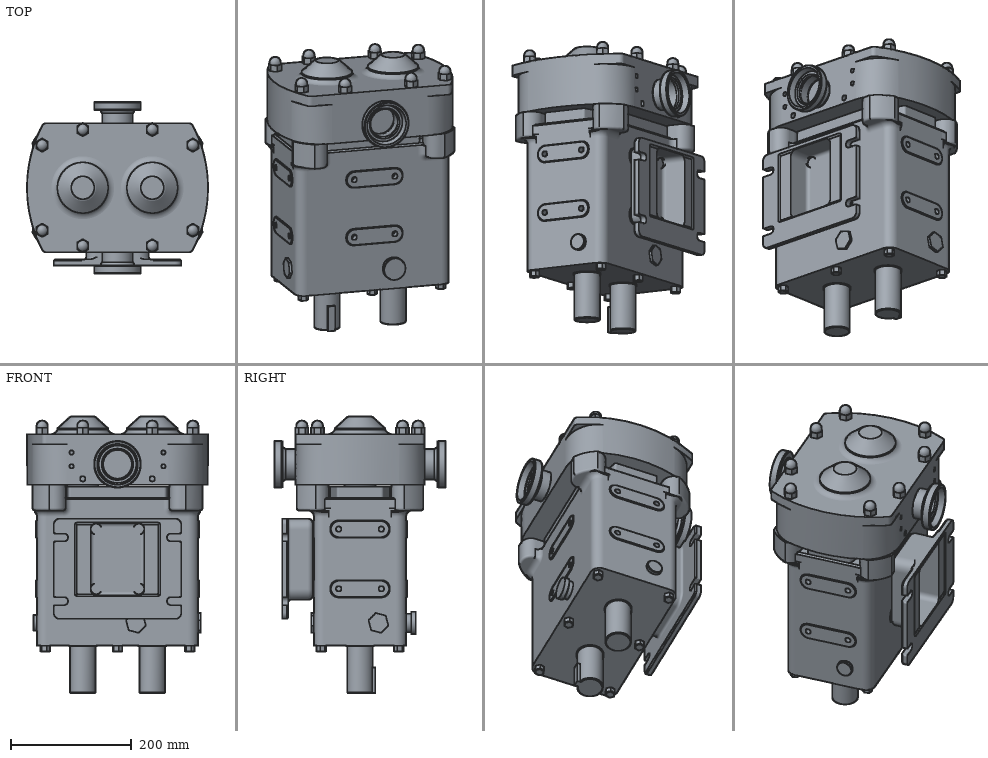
import cadquery as cq
import math


MIRROR_SIGNS = (-1, 1)
SHAFT_X = 57.5

HEAD_HALF_X = 150.0
HEAD_HALF_Y = 107.0
HEAD_SIDE_RADIUS = 222.0
HEAD_BOTTOM_Z = 266.0
HEAD_TOP_Z = 350.0
COVER_THICKNESS = 17.0
COVER_BOTTOM_Z = HEAD_TOP_Z - COVER_THICKNESS
COVER_CORNER_FILLET = 8.0
LOWER_FLAT_HALF_X = 84.0
LOWER_SIDE_HALF_Y = 64.7

DOME_HEIGHT = 29.2
DOME_FOOT_RADIUS = 52.0
DOME_BAND_RADIUS = 42.0
DOME_BAND_BOTTOM = 7.0
DOME_BAND_TOP = 9.5
DOME_TOP_RADIUS = 22.0
DOME_TOP_CHAMFER = 1.5
DOME_FOOT_SAG = 1.5

NUT_FLATS = 19.0
NUT_HEX_HEIGHT = 10.5
NUT_COLLAR_HEIGHT = 2.5
NUT_CAP_RADIUS = 9.5
NUT_POSITIONS = ((124.7, 70.5), (SHAFT_X, 96.2))

PORT_Z = 300.0
PORT_END_Y = 142.0
PORT_FLANGE_RADIUS = 38.75
PORT_FLANGE_LENGTH = 13.0
PORT_FLANGE_CHAMFER = 1.0
PORT_NECK_RADIUS = 25.5
PORT_NECK_FLARE = 3.0
PORT_BORE_RADIUS = 23.7
PORT_BORE_CHAMFER = 2.5
PORT_SOCKET_MOUTH = 33.8
PORT_SOCKET_FLOOR = 31.0
PORT_SOCKET_DEPTH = 11.0

FACE_HOLE_DEPTH = 12.0
SMALL_FACE_HOLES = ((76.0, 319.5), (76.0, 296.7))
SMALL_FACE_HOLE_DIAMETER = 7.0
LARGE_FACE_HOLES = ((SHAFT_X, 276.0),)
LARGE_FACE_HOLE_DIAMETER = 9.0

BOX_HALF_X = 133.5
BOX_HALF_Y = 76.5
BOX_HEIGHT = 245.0
BOX_CORNER_RADIUS = 16.0
BOX_TOP_CHAMFER = 3.0
BOX_WALL_TOP_Z = BOX_HEIGHT - BOX_TOP_CHAMFER
TOP_STEP_HEIGHT = 18.0
TOP_STEP_Z = BOX_HEIGHT + TOP_STEP_HEIGHT
TOP_STEP_HALF_X = BOX_HALF_X - BOX_TOP_CHAMFER
TOP_STEP_HALF_Y = BOX_HALF_Y - BOX_TOP_CHAMFER
TOP_STEP_ARM_X = 80.5
TOP_STEP_ARM_Y = 38.0
TOP_STEP_INNER = (84.0, 49.0)
TOP_STEP_FILLET = 4.0
SEAL_RADIUS = 26.0

PILLAR_X = (86.0, 140.7)
PILLAR_Y = (52.0, 104.7)
PILLAR_BOTTOM_Z = 223.5
PILLAR_OUTER_END_X = 113.0
PILLAR_OUTER_SAG = 3.0
PILLAR_SIDE_RADIUS = 19.0
PILLAR_INNER_RADIUS = 21.5
PILLAR_EDGE_FILLET = 4.0
BLEND_RADIUS = 10.0
BLEND_TURN_RADIUS = PILLAR_EDGE_FILLET + BLEND_RADIUS
BLEND_SIDE_END = (133.5, 49.0)

PAD_LENGTH = 99.0
PAD_WIDTH = 29.0
PAD_THICKNESS = 1.5
PAD_CHAMFER = 1.4
PAD_HEIGHTS = (94.0, 192.7)
PAD_HOLE_HALF_SPACING = 35.3
PAD_HOLE_DIAMETER = 9.0
PAD_HOLE_DEPTH = 15.0

SHAFT_RADIUS = 21.5
SHAFT_LENGTH = 78.5
SHAFT_CHAMFER = 1.5
SHAFT_COLLAR_RADIUS = 22.8
SHAFT_COLLAR_LENGTH = 1.5
KEY_WIDTH = 12.0
KEY_TOP_Z = -36.0
KEY_OUTER_Y = 25.6

HEX_TURN = 15.0
FOOT_SCREW_X = (-119.6, 0.0, 119.6)
FOOT_SCREW_Y = 64.0
FOOT_SCREW_CORNERS = 16.6
FOOT_SCREW_HEIGHT = 10.0
FOOT_SCREW_CHAMFER = 1.0
PLUG_Z = 37.5
PLUG_OFFSET = 30.5
HEX_PLUG_CORNERS = 34.0
HEX_PLUG_HEIGHT = 4.5
ROUND_PLUG_RADIUS = 13.2
ROUND_PLUG_HEIGHT = 5.8
ROUND_PLUG_CHAMFER = 0.8
SIGHT_NECK_RADIUS = 15.5
SIGHT_FLANGE_RADIUS = 18.5
SIGHT_HEIGHT = 16.0
SIGHT_FLANGE_THICKNESS = 8.0

BRACKET_BACK_Y = -(BOX_HALF_Y + PAD_THICKNESS)
PLATE_FRONT_Y = -129.0
PLATE_THICKNESS = 10.3
PLATE_BACK_Y = PLATE_FRONT_Y + PLATE_THICKNESS
PLATE_HALF_X = 105.5
PLATE_BOTTOM_Z = 44.0
PLATE_TOP_Z = 210.0
PLATE_CORNER_RADIUS = 10.0
PLATE_BACK_CHAMFER = 2.5
SLOT_WIDTH = 13.0
SLOT_END_X = 81.8
SLOT_MOUTH_FILLET = 2.5
SLOT_HEIGHTS = (73.5, 178.9)
DUCT_HALF_X = 52.0
DUCT_HALF_Z = 67.2
DUCT_MIDDLE_Z = PLATE_TOP_Z - DUCT_HALF_Z
DUCT_WALL = 7.5
DUCT_CORNER_RADIUS = 17.5
DUCT_BACK_FILLET = 8.0
DUCT_ROOT_FILLET = 4.0
DUCT_FLOOR_Y = -85.5
CAVITY_FLOOR_FILLET = 6.0
WINDOW_HALF_X = 71.0
WINDOW_HALF_Z = 61.0
WINDOW_DEPTH = 2.0
WINDOW_SLOPE_WIDTH = 3.5
WINDOW_RIM_HEIGHT = 0.1
WINDOW_CORNER_RADIUS = 5.0
SPOTFACE_RADIUS = 9.0


def side_x(y):
    """Half width of the pump head at distance y from its middle."""
    return HEAD_HALF_X - HEAD_SIDE_RADIUS + math.sqrt(HEAD_SIDE_RADIUS**2 - y**2)


def arc_middle(start, end, sag):
    """Middle point of an arc that bulges by sag to the right of the way from start to end."""
    run = end[0] - start[0]
    rise = end[1] - start[1]
    chord = math.hypot(run, rise)
    return (
        (start[0] + end[0]) / 2 + sag * rise / chord,
        (start[1] + end[1]) / 2 - sag * run / chord,
    )


def side_workplane(direction, distance):
    """Workplane on a vertical face: normal along direction, local X to the right, local Y up."""
    nx, ny = direction
    return cq.Workplane(
        cq.Plane(origin=(nx * distance, ny * distance, 0), xDir=(-ny, nx, 0), normal=(nx, ny, 0))
    )


def hexagon(workplane, corner_diameter, height):
    """Hexagon prism standing on the workplane, turned by HEX_TURN."""
    return workplane.transformed(rotate=(0, 0, -HEX_TURN)).polygon(6, corner_diameter).extrude(height)


def four_corners(x, y):
    return [(sx * x, sy * y) for sx in MIRROR_SIGNS for sy in MIRROR_SIGNS]


def make_cover():
    """Top slab of the head: bulging sides and rounded corners."""
    corner_x = side_x(HEAD_HALF_Y)
    cover = (
        cq.Workplane("XY", origin=(0, 0, COVER_BOTTOM_Z))
        .moveTo(corner_x, -HEAD_HALF_Y)
        .threePointArc((HEAD_HALF_X, 0), (corner_x, HEAD_HALF_Y))
        .lineTo(-corner_x, HEAD_HALF_Y)
        .threePointArc((-HEAD_HALF_X, 0), (-corner_x, -HEAD_HALF_Y))
        .close()
        .extrude(COVER_THICKNESS)
    )
    return cover.edges("|Z").fillet(COVER_CORNER_FILLET)


def make_rotor_case():
    """Lower part of the head: round corners that start tangent to the +-Y faces."""
    end_x = side_x(LOWER_SIDE_HALF_Y)
    run = end_x - LOWER_FLAT_HALF_X
    drop = HEAD_HALF_Y - LOWER_SIDE_HALF_Y
    radius = (run**2 + drop**2) / (2 * drop)
    half_angle = math.asin(run / radius) / 2
    mid_x = LOWER_FLAT_HALF_X + radius * math.sin(half_angle)
    mid_y = HEAD_HALF_Y - radius * (1 - math.cos(half_angle))
    return (
        cq.Workplane("XY", origin=(0, 0, HEAD_BOTTOM_Z))
        .moveTo(end_x, -LOWER_SIDE_HALF_Y)
        .threePointArc((HEAD_HALF_X, 0), (end_x, LOWER_SIDE_HALF_Y))
        .threePointArc((mid_x, mid_y), (LOWER_FLAT_HALF_X, HEAD_HALF_Y))
        .lineTo(-LOWER_FLAT_HALF_X, HEAD_HALF_Y)
        .threePointArc((-mid_x, mid_y), (-end_x, LOWER_SIDE_HALF_Y))
        .threePointArc((-HEAD_HALF_X, 0), (-end_x, -LOWER_SIDE_HALF_Y))
        .threePointArc((-mid_x, -mid_y), (-LOWER_FLAT_HALF_X, -HEAD_HALF_Y))
        .lineTo(LOWER_FLAT_HALF_X, -HEAD_HALF_Y)
        .threePointArc((mid_x, -mid_y), (end_x, -LOWER_SIDE_HALF_Y))
        .close()
        .extrude(COVER_BOTTOM_Z - HEAD_BOTTOM_Z)
    )


def make_dome(x):
    """Conical bearing dome with a hollow-curved foot, over one shaft."""
    foot = (DOME_FOOT_RADIUS, 0)
    band = (DOME_BAND_RADIUS, DOME_BAND_BOTTOM)
    profile = (
        cq.Workplane("XZ")
        .lineTo(*foot)
        .threePointArc(arc_middle(foot, band, -DOME_FOOT_SAG), band)
        .lineTo(DOME_BAND_RADIUS, DOME_BAND_TOP)
        .lineTo(DOME_TOP_RADIUS, DOME_HEIGHT - DOME_TOP_CHAMFER)
        .lineTo(DOME_TOP_RADIUS - 2 * DOME_TOP_CHAMFER, DOME_HEIGHT)
        .lineTo(0, DOME_HEIGHT)
        .close()
    )
    return profile.revolve(360, (0, 0, 0), (0, 1, 0)).translate((x, 0, HEAD_TOP_Z))


def make_cap_nut(x, y):
    """Hexagon cap nut: hexagon, short round collar and half-ball cap."""
    cap_z = NUT_HEX_HEIGHT + NUT_COLLAR_HEIGHT
    corner_diameter = NUT_FLATS / math.cos(math.pi / 6)
    nut = (
        cq.Workplane("XY")
        .transformed(rotate=(0, 0, 90))
        .polygon(6, corner_diameter)
        .extrude(NUT_HEX_HEIGHT)
    )
    nut = nut.union(cq.Workplane("XY").circle(NUT_CAP_RADIUS).extrude(cap_z))
    ball = cq.Workplane("XY", origin=(0, 0, cap_z)).sphere(NUT_CAP_RADIUS)
    return nut.union(ball).translate((x, y, HEAD_TOP_Z))


def make_port():
    """Clamp-type pipe port pointing along +Y, its axis at Z = PORT_Z."""
    socket_floor_y = PORT_END_Y - PORT_SOCKET_DEPTH
    flange_back_y = PORT_END_Y - PORT_FLANGE_LENGTH
    edge_radius = PORT_FLANGE_RADIUS - PORT_FLANGE_CHAMFER
    profile = (
        cq.Workplane("XY")
        .moveTo(PORT_BORE_RADIUS, HEAD_HALF_Y)
        .lineTo(PORT_NECK_RADIUS, HEAD_HALF_Y)
        .lineTo(PORT_NECK_RADIUS, flange_back_y - 2 * PORT_NECK_FLARE)
        .lineTo(PORT_NECK_RADIUS + PORT_NECK_FLARE, flange_back_y - PORT_FLANGE_CHAMFER)
        .lineTo(edge_radius, flange_back_y - PORT_FLANGE_CHAMFER)
        .lineTo(PORT_FLANGE_RADIUS, flange_back_y + PORT_FLANGE_CHAMFER)
        .lineTo(PORT_FLANGE_RADIUS, PORT_END_Y - PORT_FLANGE_CHAMFER)
        .lineTo(edge_radius, PORT_END_Y)
        .lineTo(PORT_SOCKET_MOUTH, PORT_END_Y)
        .lineTo(PORT_SOCKET_FLOOR, socket_floor_y)
        .lineTo(PORT_BORE_RADIUS + PORT_BORE_CHAMFER, socket_floor_y)
        .lineTo(PORT_BORE_RADIUS, socket_floor_y - PORT_BORE_CHAMFER)
        .close()
    )
    return profile.revolve(360, (0, 0, 0), (0, 1, 0)).translate((0, 0, PORT_Z))


def cut_face_holes(head):
    """Blind holes in the -Y face, in mirrored pairs."""
    hole_groups = (
        (SMALL_FACE_HOLES, SMALL_FACE_HOLE_DIAMETER),
        (LARGE_FACE_HOLES, LARGE_FACE_HOLE_DIAMETER),
    )
    for places, diameter in hole_groups:
        centres = [(sign * x, z) for x, z in places for sign in MIRROR_SIGNS]
        holes = (
            side_workplane((0, -1), HEAD_HALF_Y)
            .pushPoints(centres)
            .circle(diameter / 2)
            .extrude(-FACE_HOLE_DEPTH)
        )
        head = head.cut(holes)
    return head


def make_head():
    head = make_cover().union(make_rotor_case())
    for sign in MIRROR_SIGNS:
        head = head.union(make_dome(sign * SHAFT_X))
    for nut_x, nut_y in NUT_POSITIONS:
        for x, y in four_corners(nut_x, nut_y):
            head = head.union(make_cap_nut(x, y))
    port = make_port()
    head = head.union(port).union(port.mirror("XZ"))
    return cut_face_holes(head)


def make_top_step():
    """Cross-shaped step on the housing that leaves room for the four corner pillars."""
    inner_x, inner_y = TOP_STEP_INNER
    quarter = [
        (TOP_STEP_HALF_X, TOP_STEP_ARM_Y),
        (inner_x, inner_y),
        (TOP_STEP_ARM_X, TOP_STEP_HALF_Y),
    ]
    back = [(-x, y) for x, y in reversed(quarter)]
    half = quarter + back
    outline = half + [(-x, -y) for x, y in half]
    step = cq.Workplane("XY", origin=(0, 0, BOX_HEIGHT)).polyline(outline).close().extrude(TOP_STEP_HEIGHT)
    tips = step.edges("|Z").edges(">X or <X or >Y or <Y")
    return tips.fillet(TOP_STEP_FILLET)


def make_housing_prism(grow, bottom_z, height):
    """Upright prism on the housing outline, grown outward by an even distance."""
    return (
        cq.Workplane("XY", origin=(0, 0, bottom_z))
        .rect(2 * (BOX_HALF_X + grow), 2 * (BOX_HALF_Y + grow))
        .extrude(height)
        .edges("|Z")
        .fillet(BOX_CORNER_RADIUS + grow)
    )


def make_pillar():
    """Rounded pillar of the +X +Y corner that carries the pump head."""
    (x_in, x_out), (y_in, y_out) = PILLAR_X, PILLAR_Y
    side = PILLAR_SIDE_RADIUS
    inner = PILLAR_INNER_RADIUS
    side_slack = side * (1 - math.sqrt(0.5))
    inner_slack = inner * (1 - math.sqrt(0.5))
    outer_start = (x_out, y_in + inner)
    outer_end = (PILLAR_OUTER_END_X, y_out)
    pillar = (
        cq.Workplane("XY", origin=(0, 0, PILLAR_BOTTOM_Z))
        .moveTo(x_in + inner, y_in)
        .lineTo(x_out - inner, y_in)
        .threePointArc((x_out - inner_slack, y_in + inner_slack), outer_start)
        .threePointArc(arc_middle(outer_start, outer_end, PILLAR_OUTER_SAG), outer_end)
        .lineTo(x_in + side, y_out)
        .threePointArc((x_in + side_slack, y_out - side_slack), (x_in, y_out - side))
        .lineTo(x_in, y_in + inner)
        .threePointArc((x_in + inner_slack, y_in + inner_slack), (x_in + inner, y_in))
        .close()
        .extrude(HEAD_BOTTOM_Z - PILLAR_BOTTOM_Z)
    )
    return pillar.faces("<Z").edges().fillet(PILLAR_EDGE_FILLET)


def make_under_blend():
    """Hollow blend below the +X +Y pillar, following the rounded housing corner."""
    collar_height = 1.0
    collar_grow = BLEND_RADIUS + 2.0
    flared = make_housing_prism(0, 0, PILLAR_BOTTOM_Z).union(
        make_housing_prism(collar_grow, PILLAR_BOTTOM_Z, collar_height)
    )
    rim = cq.selectors.BoxSelector(
        (-BOX_HALF_X - 1, -BOX_HALF_Y - 1, PILLAR_BOTTOM_Z - 1),
        (BOX_HALF_X + 1, BOX_HALF_Y + 1, PILLAR_BOTTOM_Z + 1),
    )
    flared = flared.edges(rim).fillet(BLEND_RADIUS)
    x_min = PILLAR_X[0] + PILLAR_EDGE_FILLET
    x_max = PILLAR_X[1] - PILLAR_EDGE_FILLET
    y_min = PILLAR_Y[0]
    y_max = PILLAR_Y[1] - PILLAR_EDGE_FILLET
    below_pillar = cq.Workplane("XY").box(
        x_max - x_min, y_max - y_min, PILLAR_BOTTOM_Z, centered=False
    ).translate((x_min, y_min, 0))
    return flared.intersect(below_pillar)


def make_side_blends():
    """Hollow blends between the +X +Y pillar and the two housing walls it stands out of."""
    inner_x = PILLAR_X[0]
    turn_x = inner_x + PILLAR_EDGE_FILLET
    turn_z = PILLAR_BOTTOM_Z + PILLAR_EDGE_FILLET
    inner_reach = PILLAR_EDGE_FILLET
    leg = BLEND_RADIUS * (1 - math.sqrt(0.5))

    def profile(workplane):
        return (
            workplane.lineTo(-BLEND_TURN_RADIUS, 0)
            .threePointArc((-inner_reach - leg, leg), (-inner_reach, BLEND_RADIUS))
            .lineTo(0, BLEND_RADIUS)
            .close()
        )

    upright = profile(cq.Workplane("XY")).extrude(BOX_WALL_TOP_Z - turn_z)
    corner = profile(cq.Workplane("XY")).revolve(90, (0, 1, 0), (0, 0, 0))
    y_wall_blend = upright.union(corner).translate((turn_x, BOX_HALF_Y, turn_z))

    end_x, end_y = BLEND_SIDE_END
    middle_y = (PILLAR_Y[0] + PILLAR_Y[1]) / 2
    rounding_x = PILLAR_X[1] - PILLAR_INNER_RADIUS
    rounding_y = PILLAR_Y[0] + PILLAR_INNER_RADIUS
    touch_angle = math.radians(-45)
    touch = (
        rounding_x + PILLAR_INNER_RADIUS * math.cos(touch_angle),
        rounding_y + PILLAR_INNER_RADIUS * math.sin(touch_angle),
    )
    x_wall_blend = (
        cq.Workplane("XY", origin=(0, 0, turn_z))
        .moveTo(end_x, end_y)
        .lineTo(*touch)
        .lineTo(rounding_x, middle_y)
        .lineTo(rounding_x, end_y)
        .close()
        .extrude(BOX_WALL_TOP_Z - turn_z)
    )
    return y_wall_blend.union(x_wall_blend)


def make_corner():
    """Complete +X +Y corner: pillar with its blends into the housing."""
    return make_pillar().union(make_under_blend()).union(make_side_blends())


def make_pad(direction, distance, z):
    """Shallow round-ended pad with a chamfered rim."""
    pad = side_workplane(direction, distance).center(0, z)
    pad = pad.slot2D(PAD_LENGTH, PAD_WIDTH).extrude(PAD_THICKNESS)
    outward = cq.Vector(*direction, 0)
    return pad.faces(cq.selectors.DirectionMinMaxSelector(outward)).chamfer(PAD_CHAMFER)


def make_pad_holes(direction, distance, z):
    spacing = PAD_HOLE_HALF_SPACING
    return (
        side_workplane(direction, distance + PAD_THICKNESS)
        .pushPoints([(-spacing, z), (spacing, z)])
        .circle(PAD_HOLE_DIAMETER / 2)
        .extrude(-PAD_HOLE_DEPTH)
    )


def make_hex_plug(direction, distance):
    face = side_workplane(direction, distance).center(PLUG_OFFSET, PLUG_Z)
    return hexagon(face, HEX_PLUG_CORNERS, HEX_PLUG_HEIGHT)


def make_round_plug(direction, distance):
    face = side_workplane(direction, distance).center(PLUG_OFFSET, PLUG_Z)
    plug = face.circle(ROUND_PLUG_RADIUS).extrude(ROUND_PLUG_HEIGHT)
    return plug.faces("<X").chamfer(ROUND_PLUG_CHAMFER)


def make_sight_glass(direction, distance):
    face = side_workplane(direction, distance).center(PLUG_OFFSET, PLUG_Z)
    neck = face.circle(SIGHT_NECK_RADIUS).extrude(SIGHT_HEIGHT)
    flange_start = distance + SIGHT_HEIGHT - SIGHT_FLANGE_THICKNESS
    flange = side_workplane(direction, flange_start).center(PLUG_OFFSET, PLUG_Z)
    return neck.union(flange.circle(SIGHT_FLANGE_RADIUS).extrude(SIGHT_FLANGE_THICKNESS))


def make_foot_screw(x, y):
    screw = hexagon(cq.Workplane("XY"), FOOT_SCREW_CORNERS, FOOT_SCREW_HEIGHT)
    screw = screw.faces("<Z").chamfer(FOOT_SCREW_CHAMFER)
    return screw.translate((x, y, -FOOT_SCREW_HEIGHT))


def make_shaft_end(x):
    """Shaft end pointing down out of the housing, with a short collar at its root."""
    shaft = cq.Workplane("XY").circle(SHAFT_RADIUS).extrude(-SHAFT_LENGTH)
    shaft = shaft.faces("<Z").chamfer(SHAFT_CHAMFER)
    collar = cq.Workplane("XY").circle(SHAFT_COLLAR_RADIUS).extrude(-SHAFT_COLLAR_LENGTH)
    return shaft.union(collar).translate((x, 0, 0))


def make_key():
    """Drive key on the +Y side of the +X shaft."""
    height = KEY_TOP_Z + SHAFT_LENGTH
    key = cq.Workplane("XY").box(KEY_WIDTH, KEY_OUTER_Y, height, centered=(True, False, False))
    return key.translate((SHAFT_X, 0, -SHAFT_LENGTH))


def make_gearbox():
    gearbox = make_housing_prism(0, 0, BOX_HEIGHT).faces(">Z").chamfer(BOX_TOP_CHAMFER)
    gearbox = gearbox.union(make_top_step())

    corner = make_corner()
    gearbox = gearbox.union(corner).union(corner.mirror("YZ"))
    gearbox = gearbox.union(corner.mirror("XZ")).union(corner.mirror("YZ").mirror("XZ"))

    seal = cq.Workplane("XY", origin=(-SHAFT_X, 0, TOP_STEP_Z))
    gearbox = gearbox.union(seal.circle(SEAL_RADIUS).extrude(HEAD_BOTTOM_Z - TOP_STEP_Z))

    sides = (((1, 0), BOX_HALF_X), ((-1, 0), BOX_HALF_X), ((0, 1), BOX_HALF_Y), ((0, -1), BOX_HALF_Y))
    for direction, distance in sides:
        for z in PAD_HEIGHTS:
            gearbox = gearbox.union(make_pad(direction, distance, z))
            gearbox = gearbox.cut(make_pad_holes(direction, distance, z))

    gearbox = gearbox.union(make_hex_plug((0, -1), BOX_HALF_Y))
    gearbox = gearbox.union(make_hex_plug((1, 0), BOX_HALF_X))
    gearbox = gearbox.union(make_round_plug((-1, 0), BOX_HALF_X))
    gearbox = gearbox.union(make_sight_glass((0, 1), BOX_HALF_Y))

    for x in FOOT_SCREW_X:
        for sign in MIRROR_SIGNS:
            gearbox = gearbox.union(make_foot_screw(x, sign * FOOT_SCREW_Y))
    for sign in MIRROR_SIGNS:
        gearbox = gearbox.union(make_shaft_end(sign * SHAFT_X))
    return gearbox.union(make_key())


def block_along_y(half_x, z_range, y_range):
    """Upright block centred on X = 0 between two heights and two Y places."""
    z_low, z_high = z_range
    y_low, y_high = y_range
    return cq.Workplane("XY").box(
        2 * half_x, y_high - y_low, z_high - z_low, centered=(True, False, False)
    ).translate((0, y_low, z_low))


def make_plate():
    """Mounting plate with an open-ended slot near each corner."""
    plate = block_along_y(PLATE_HALF_X, (PLATE_BOTTOM_Z, PLATE_TOP_Z), (PLATE_FRONT_Y, PLATE_BACK_Y))
    plate = plate.edges("|Y").fillet(PLATE_CORNER_RADIUS)
    plate = plate.faces(">Y").chamfer(PLATE_BACK_CHAMFER)
    slot_length = 2 * (PLATE_HALF_X - SLOT_END_X)
    centres = [(sign * PLATE_HALF_X, z) for sign in MIRROR_SIGNS for z in SLOT_HEIGHTS]
    slots = (
        side_workplane((0, -1), -PLATE_FRONT_Y)
        .pushPoints(centres)
        .slot2D(slot_length, SLOT_WIDTH)
        .extrude(-PLATE_THICKNESS)
    )
    plate = plate.cut(slots)
    mouth_corners = cq.selectors.BoxSelector(
        (-PLATE_HALF_X - 1, PLATE_FRONT_Y, SLOT_HEIGHTS[0] - SLOT_WIDTH),
        (PLATE_HALF_X + 1, PLATE_BACK_Y, SLOT_HEIGHTS[1] + SLOT_WIDTH),
    )
    return plate.edges("|Y").edges("<X or >X").edges(mouth_corners).fillet(SLOT_MOUTH_FILLET)


def middle_z_range(half_height):
    return (DUCT_MIDDLE_Z - half_height, DUCT_MIDDLE_Z + half_height)


def make_duct():
    """Box between the plate and the gearbox pads, flaring into the plate along its root."""
    duct = block_along_y(DUCT_HALF_X, middle_z_range(DUCT_HALF_Z), (PLATE_BACK_Y, BRACKET_BACK_Y))
    duct = duct.edges("|Y").fillet(DUCT_CORNER_RADIUS)
    duct = duct.faces(">Y").edges().fillet(DUCT_BACK_FILLET)

    root_grow = 2 * DUCT_ROOT_FILLET
    root = block_along_y(
        DUCT_HALF_X + root_grow, middle_z_range(DUCT_HALF_Z + root_grow), (PLATE_FRONT_Y, PLATE_BACK_Y)
    )
    duct = duct.union(root)
    rim = cq.selectors.BoxSelector(
        (-DUCT_HALF_X - 1, PLATE_BACK_Y - 1, DUCT_MIDDLE_Z - DUCT_HALF_Z - 1),
        (DUCT_HALF_X + 1, PLATE_BACK_Y + 1, DUCT_MIDDLE_Z + DUCT_HALF_Z + 1),
    )
    duct = duct.edges(rim).fillet(DUCT_ROOT_FILLET)
    below_plate_top = block_along_y(
        PLATE_HALF_X, (PLATE_BOTTOM_Z, PLATE_TOP_Z), (PLATE_FRONT_Y, BRACKET_BACK_Y)
    )
    return duct.intersect(below_plate_top)


def make_cavity():
    """Hollow of the duct, open to the front, with a fillet round its floor."""
    half_x = DUCT_HALF_X - DUCT_WALL
    half_z = DUCT_HALF_Z - DUCT_WALL
    cavity = block_along_y(half_x, middle_z_range(half_z), (PLATE_FRONT_Y, DUCT_FLOOR_Y))
    cavity = cavity.edges("|Y").fillet(DUCT_CORNER_RADIUS - DUCT_WALL)
    return cavity.faces(">Y").edges().fillet(CAVITY_FLOOR_FILLET)


def make_spotfaces():
    """Round flats on the cavity floor, one over each gearbox pad hole."""
    spacing = PAD_HOLE_HALF_SPACING
    centres = [(sign * spacing, z) for sign in MIRROR_SIGNS for z in PAD_HEIGHTS]
    return (
        side_workplane((0, -1), -DUCT_FLOOR_Y)
        .pushPoints(centres)
        .circle(SPOTFACE_RADIUS)
        .extrude(DUCT_FLOOR_Y - PLATE_FRONT_Y)
    )


def make_window():
    """Shallow recess in the plate front around the cavity, with sloping walls."""
    y_range = (PLATE_FRONT_Y, PLATE_FRONT_Y + WINDOW_DEPTH)
    window = block_along_y(WINDOW_HALF_X, middle_z_range(WINDOW_HALF_Z), y_range)
    window = window.edges("|Y").fillet(WINDOW_CORNER_RADIUS)
    return window.faces(">Y").chamfer(WINDOW_SLOPE_WIDTH, WINDOW_DEPTH - WINDOW_RIM_HEIGHT)


def make_bracket():
    bracket = make_plate().union(make_duct())
    bracket = bracket.cut(make_cavity()).cut(make_spotfaces())
    return bracket.cut(make_window())


head = make_head()
gearbox = make_gearbox()
bracket = make_bracket()

result = cq.Compound.makeCompound([head.val(), gearbox.val(), bracket.val()])